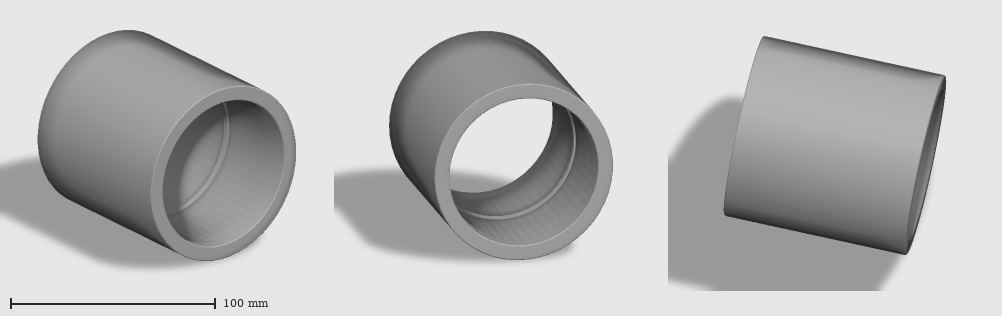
import cadquery as cq

length = 91.0
outer_diameter = 90.0
socket_diameter = 75.0
stop_diameter = 73.0
stop_width = 3.0
outer_chamfer = 0.5
mouth_chamfer = 0.5

socket_depth = (length - stop_width) / 2


def cylinder_along_x(diameter, start, depth):
    return cq.Workplane("YZ").workplane(offset=start).circle(diameter / 2).extrude(depth)


body = cylinder_along_x(outer_diameter, -length / 2, length)
body = body.faces("<X or >X").edges().chamfer(outer_chamfer)

body = body.cut(cylinder_along_x(stop_diameter, -length / 2, length))

for socket_start in (-length / 2, length / 2 - socket_depth):
    body = body.cut(cylinder_along_x(socket_diameter, socket_start, socket_depth))

mouth_edges = body.faces("<X or >X").edges(cq.selectors.RadiusNthSelector(0))
result = mouth_edges.chamfer(mouth_chamfer)